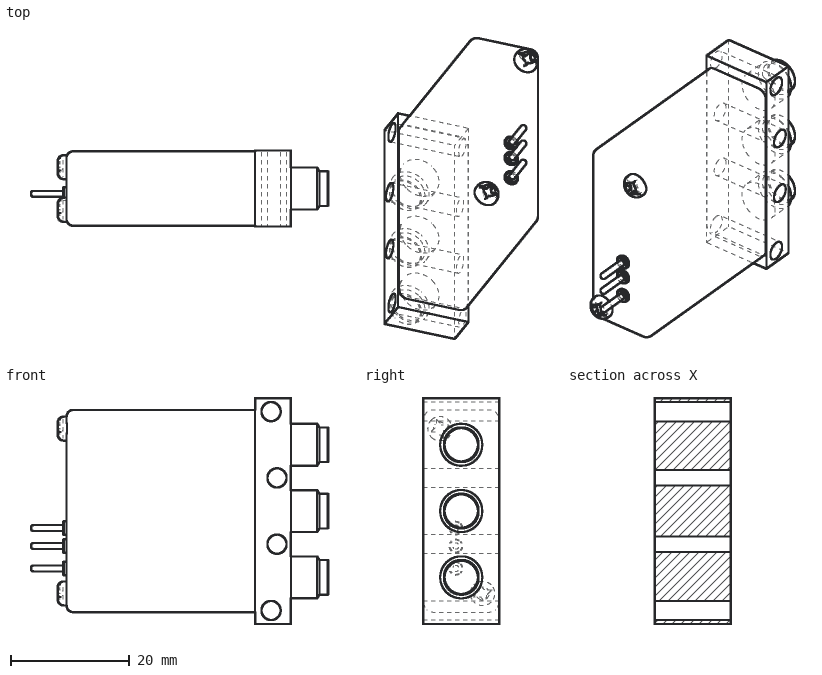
import cadquery as cq
import math

plate_thick = 6.05
plate_width = 12.85
plate_height = 38.1

body_length = 31.8
body_width = 12.6
body_height = 34.15
body_side_radius = 1.57
body_end_radius = 1.15

pitch = 11.18
hole_dia = 3.2
outer_hole_x = 2.7
inner_hole_x = 3.7

connector_count = 3
barrel_dia = 7.1
barrel_length = 4.4
nose_dia = 5.9
nose_start = 4.8
connector_length = 6.35
nose_chamfer = 0.15

overall_length = 50.2
pin_length = overall_length - body_length - plate_thick - connector_length
pin_dia = 1.05
pin_tip_radius = 0.45
collar_dia = 2.3
collar_length = 0.6
collar_chamfer = 0.15
pin_y = -0.9
pin_heights = (-2.87, -5.9, -9.68)

screw_y = -3.6
screw_z = 13.9
head_dia = 4.1
head_height = 1.52
head_radius = 1.1
recess_points = 4
recess_tip_radius = 1.65
recess_waist_radius = 0.7
recess_depth = 0.9
recess_mouth_radius = 1.1
recess_angle = 20


def revolve_about_x(profile):
    """Revolve an (axial, radial) profile about the X axis."""
    return cq.Workplane("XY").polyline(profile).close().revolve(360, (0, 0, 0), (1, 0, 0))


def make_plate():
    plate = cq.Workplane("XY").box(plate_thick, plate_width, plate_height, centered=(False, True, True))
    inner_hole_z = pitch / 2
    outer_hole_z = inner_hole_z + pitch
    hole_points = []
    for side in (1, -1):
        hole_points.append((inner_hole_x, side * inner_hole_z))
        hole_points.append((outer_hole_x, side * outer_hole_z))
    holes = (
        cq.Workplane("XZ")
        .pushPoints(hole_points)
        .circle(hole_dia / 2)
        .extrude(plate_width / 2, both=True)
    )
    return plate.cut(holes)


def make_body():
    body = cq.Workplane("XY").box(body_length, body_width, body_height).translate((-body_length / 2, 0, 0))
    return body.edges("|X").fillet(body_side_radius).faces("<X").edges().fillet(body_end_radius)


def make_connector():
    """Stepped barrel along +X with a conical shoulder and a chamfered nose."""
    barrel_radius = barrel_dia / 2
    nose_radius = nose_dia / 2
    return revolve_about_x([
        (0, 0),
        (0, barrel_radius),
        (barrel_length, barrel_radius),
        (nose_start, nose_radius),
        (connector_length - nose_chamfer, nose_radius),
        (connector_length, nose_radius - nose_chamfer),
        (connector_length, 0),
    ])


def make_pin():
    """Round-tipped pin along -X with a chamfered collar at its root."""
    pin = cq.Workplane("YZ").circle(pin_dia / 2).extrude(-pin_length)
    collar = cq.Workplane("YZ").circle(collar_dia / 2).extrude(-collar_length)
    rounded_pin = pin.faces("<X").edges().fillet(pin_tip_radius)
    return rounded_pin.union(collar.faces("<X").edges().chamfer(collar_chamfer))


def make_recess():
    """Star-shaped driver recess cut from the head top, with a conical centre
    that narrows to the waist of the star at the recess floor."""
    floor_x = recess_depth - head_height
    star = []
    corner_count = 2 * recess_points
    for corner in range(corner_count):
        radius = recess_waist_radius if corner % 2 else recess_tip_radius
        angle = math.radians(recess_angle + 360 * corner / corner_count)
        star.append((radius * math.cos(angle), radius * math.sin(angle)))
    star_slot = cq.Workplane("YZ").workplane(offset=floor_x).polyline(star).close().extrude(-recess_depth)
    cone = revolve_about_x([
        (floor_x, 0),
        (floor_x, recess_waist_radius),
        (-head_height, recess_mouth_radius),
        (-head_height, 0),
    ])
    return star_slot.union(cone)


def make_screw_head():
    """Rounded screw head along -X, sunk into the housing so that it meets
    the rounded housing edges."""
    head = (
        cq.Workplane("YZ")
        .workplane(offset=body_end_radius)
        .circle(head_dia / 2)
        .extrude(-head_height - body_end_radius)
    )
    return head.faces("<X").edges().fillet(head_radius).cut(make_recess())


result = make_plate().union(make_body())

for index in range(connector_count):
    connector_z = (index - (connector_count - 1) / 2) * pitch
    result = result.union(make_connector().translate((plate_thick, 0, connector_z)))

for pin_z in pin_heights:
    result = result.union(make_pin().translate((-body_length, pin_y, pin_z)))

for side in (1, -1):
    result = result.union(make_screw_head().translate((-body_length, side * screw_y, side * screw_z)))